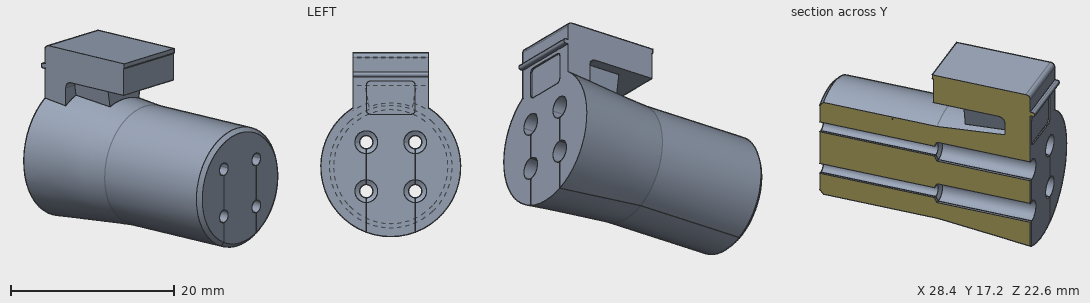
import cadquery as cq
import math

overall_length = 28.4
bead_reach = 0.6
body_length = overall_length - bead_reach
head_length = 12.3
head_radius = 8.58
shank_radius = 7.5
end_chamfer = 0.5

latch_top = 13.97
latch_width = 9.3
latch_length = 12.85
leg_thickness = 3.4
arm_thickness = 4.03
top_round = 0.6
inner_round = 0.8
lip_reach = 0.1
lip_height = 0.55
lip_slope_height = 0.15

bead_height = 0.62
bead_drop = 2.7

rib_top_width = 6.25
rib_side_angle = 10.0
rib_end = 8.9

label_width = 6.0
label_height = 4.05
label_drop = 3.5
label_corner = 0.5
label_depth = 0.2

hole_pitch = 6.0
hole_radius = 1.4
neck_radius = 0.8
hole_depth = head_length
cone_length = 0.35
slit_width = 0.03


def extrude_across(outline, width):
    """Extrude an XZ outline symmetrically about the Y = 0 plane."""
    return outline.extrude(width / 2, both=True)


def make_body():
    """Tapered head and chamfered shank, revolved about the X axis."""
    return (
        cq.Workplane("XZ")
        .moveTo(0, 0)
        .lineTo(0, head_radius)
        .lineTo(head_length, shank_radius)
        .lineTo(body_length - end_chamfer, shank_radius)
        .lineTo(body_length, shank_radius - end_chamfer)
        .lineTo(body_length, 0)
        .close()
        .revolve(360, (0, 0, 0), (1, 0, 0))
    )


def make_latch():
    """Upright leg with an arm reaching back over the head, ending in a small lip."""
    arm_bottom = latch_top - arm_thickness
    lip_end = latch_length + lip_reach
    lip_bottom = latch_top - lip_height
    outline = (
        cq.Workplane("XZ")
        .moveTo(0, 0)
        .lineTo(0, latch_top - top_round)
        .radiusArc((top_round, latch_top), top_round)
        .lineTo(lip_end, latch_top)
        .lineTo(lip_end, lip_bottom)
        .lineTo(latch_length, lip_bottom - lip_slope_height)
        .lineTo(latch_length, arm_bottom)
        .lineTo(leg_thickness + inner_round, arm_bottom)
        .radiusArc((leg_thickness, arm_bottom - inner_round), -inner_round)
        .lineTo(leg_thickness, 0)
        .close()
    )
    return extrude_across(outline, latch_width)


def make_rib():
    rib_height = latch_top - arm_thickness
    bottom_width = rib_top_width - 2 * rib_height * math.tan(math.radians(rib_side_angle))
    return (
        cq.Workplane("YZ")
        .moveTo(-bottom_width / 2, 0)
        .lineTo(-rib_top_width / 2, rib_height)
        .lineTo(rib_top_width / 2, rib_height)
        .lineTo(bottom_width / 2, 0)
        .close()
        .extrude(rib_end)
    )


def make_bead():
    radius = bead_height / 2
    middle = latch_top - bead_drop
    round_start = radius - bead_reach
    outline = (
        cq.Workplane("XZ")
        .moveTo(leg_thickness / 2, middle - radius)
        .lineTo(round_start, middle - radius)
        .threePointArc((-bead_reach, middle), (round_start, middle + radius))
        .lineTo(leg_thickness / 2, middle + radius)
        .close()
    )
    return extrude_across(outline, latch_width)


def make_label_recess():
    middle = latch_top - label_drop - label_height / 2
    return (
        cq.Workplane("XY")
        .box(label_depth, label_width, label_height, centered=(False, True, True))
        .edges("|X")
        .fillet(label_corner)
        .translate((0, 0, middle))
    )


def make_cable_hole(y, z):
    return (
        cq.Workplane("XY")
        .moveTo(0, 0)
        .lineTo(0, hole_radius)
        .lineTo(hole_depth, hole_radius)
        .lineTo(hole_depth + cone_length, neck_radius)
        .lineTo(body_length, neck_radius)
        .lineTo(body_length, 0)
        .close()
        .revolve(360, (0, 0, 0), (1, 0, 0))
        .translate((0, y, z))
    )


def make_slit(y):
    """Thin cut from the centre of the upper hole down through the underside."""
    slit_height = hole_pitch / 2 + head_radius
    return (
        cq.Workplane("XY")
        .box(body_length, slit_width, slit_height, centered=(False, True, False))
        .translate((0, y, -head_radius))
    )


result = make_body().union(make_latch()).union(make_rib()).union(make_bead())
result = result.cut(make_label_recess())
for hole_y in (-hole_pitch / 2, hole_pitch / 2):
    result = result.cut(make_slit(hole_y))
    for hole_z in (-hole_pitch / 2, hole_pitch / 2):
        result = result.cut(make_cable_hole(hole_y, hole_z))